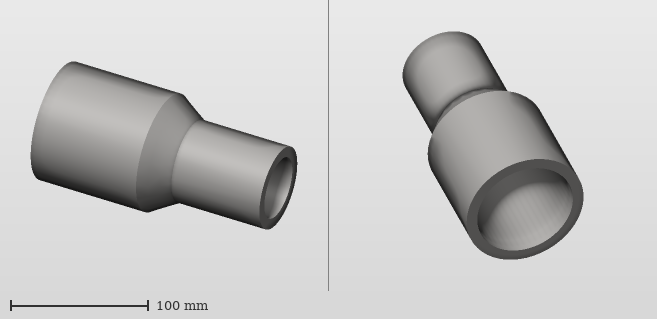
import cadquery as cq

large_diameter = 90.0
large_bore = 73.6
small_diameter = 63.0
small_bore = 46.6

total_length = 178.0
large_length = 85.0
small_length = 71.0

cone_start = large_length
cone_end = total_length - small_length


def stepped_cone_body(large_dia, small_dia):
    """Solid of revolution about X: two cylinders joined by a cone."""
    large_radius = large_dia / 2
    small_radius = small_dia / 2
    profile = (
        cq.Workplane("XY")
        .moveTo(0, 0)
        .lineTo(0, large_radius)
        .lineTo(cone_start, large_radius)
        .lineTo(cone_end, small_radius)
        .lineTo(total_length, small_radius)
        .lineTo(total_length, 0)
        .close()
    )
    return profile.revolve(360, (0, 0, 0), (1, 0, 0))


outer_body = stepped_cone_body(large_diameter, small_diameter)

bore = stepped_cone_body(large_bore, small_bore)

result = outer_body.cut(bore)